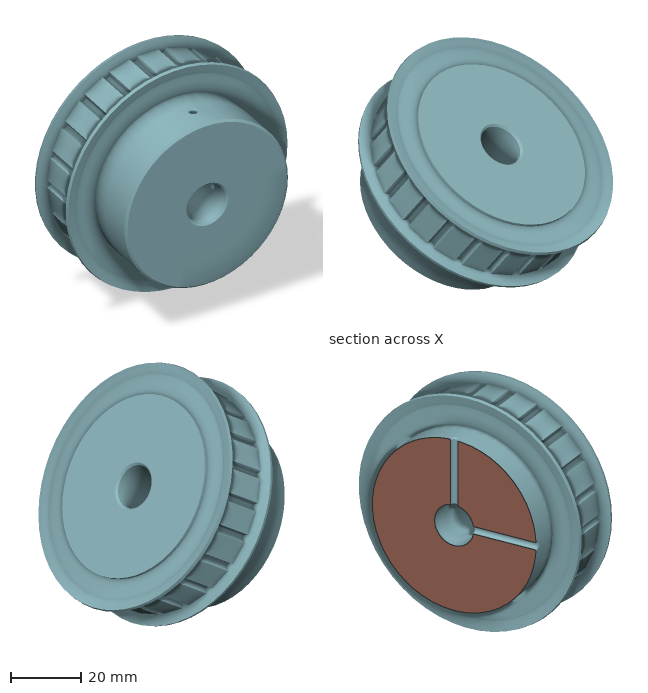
import cadquery as cq
import math

total_length = 34.9
hub_radius = 27.0
hub_edge_chamfer = 0.65

tooth_count = 22
tooth_corner_radius = 33.3
rim_start = 2.0
rim_end = 16.9

groove_top_width = 2.5
groove_depth = 1.45
groove_wall_angle = 20.0
groove_root_fillet = 0.45

flange_radius = 36.5
flange_thickness = 1.0
flange_flare = 0.7

bore_radius = 6.35
bore_chamfer = 0.6
screw_position = 27.0
screw_radius = 1.1
screw_chamfer = 0.45

tooth_pitch_angle = 360 / tooth_count
groove_half_angle = math.degrees(math.asin(groove_top_width / 2 / tooth_corner_radius))
tooth_half_angle = tooth_pitch_angle / 2 - groove_half_angle
tooth_flat_distance = tooth_corner_radius * math.cos(math.radians(tooth_half_angle))
groove_mouth_distance = tooth_corner_radius * math.cos(math.radians(groove_half_angle))


def revolve_about_x(points):
    """Solid of revolution from (x, radius) points."""
    return cq.Workplane("XY").polyline(points).close().revolve(360, (0, 0, 0), (1, 0, 0))


def make_hub():
    """Plain cylinder along X, chamfered at its far edge."""
    hub = cq.Workplane("YZ").circle(hub_radius).extrude(total_length)
    return hub.faces(">X").edges().chamfer(hub_edge_chamfer)


def make_groove():
    """Cutter for one groove, opening toward +Y."""
    narrowing_per_depth = math.tan(math.radians(groove_wall_angle))
    overshoot = 0.7
    root = groove_mouth_distance - groove_depth
    mouth = groove_mouth_distance + overshoot
    half_root = groove_top_width / 2 - groove_depth * narrowing_per_depth
    half_mouth = groove_top_width / 2 + overshoot * narrowing_per_depth
    outline = [(root, -half_root), (mouth, -half_mouth), (mouth, half_mouth), (root, half_root)]
    cutter = (
        cq.Workplane("YZ", origin=(rim_start, 0, 0))
        .polyline(outline)
        .close()
        .extrude(rim_end - rim_start)
    )
    return cutter.edges("|X").edges("<Y").fillet(groove_root_fillet)


def make_toothed_rim():
    """Flat-topped polygon, one side per tooth, with a groove cut at every corner."""
    circumradius = tooth_flat_distance / math.cos(math.pi / tooth_count)
    rim = (
        cq.Workplane("YZ", origin=(rim_start, 0, 0))
        .polygon(tooth_count, 2 * circumradius)
        .extrude(rim_end - rim_start)
    )
    groove = make_groove()
    for index in range(tooth_count):
        rim = rim.cut(groove.rotate((0, 0, 0), (1, 0, 0), index * tooth_pitch_angle))
    return rim


def make_flange(tooth_side, outward):
    """Disc starting at x = tooth_side; outward is +1 or -1 along X."""
    flare_angle = math.atan2(flange_flare, flange_radius - tooth_corner_radius)
    rim_drop = flange_thickness * math.sin(flare_angle)
    rim_width = flange_thickness * math.cos(flare_angle)
    bend_shift = flange_thickness * math.tan(flare_angle / 2)
    profile = [
        (0, 0),
        (0, tooth_corner_radius),
        (flange_flare, flange_radius),
        (flange_flare + rim_width, flange_radius - rim_drop),
        (flange_thickness, tooth_corner_radius - bend_shift),
        (flange_thickness, 0),
    ]
    return revolve_about_x([(tooth_side + outward * x, radius) for x, radius in profile])


def make_bore():
    """Through bore with a chamfer at each end."""
    mouth_radius = bore_radius + bore_chamfer
    return revolve_about_x([
        (0, 0),
        (0, mouth_radius),
        (bore_chamfer, bore_radius),
        (total_length - bore_chamfer, bore_radius),
        (total_length, mouth_radius),
        (total_length, 0),
    ])


def make_screw_hole():
    """Radial hole from the hub surface at +Z into the bore, chamfered at the mouth."""
    hole = (
        cq.Workplane("XY", origin=(screw_position, 0, 0))
        .circle(screw_radius)
        .extrude(hub_radius)
    )
    mouth = cq.Solid.makeCone(
        screw_radius,
        screw_radius + screw_chamfer,
        screw_chamfer,
        pnt=cq.Vector(screw_position, 0, hub_radius - screw_chamfer),
        dir=cq.Vector(0, 0, 1),
    )
    return hole.union(cq.Workplane(mouth))


screw_hole = make_screw_hole()
pulley = make_hub().union(make_toothed_rim())
pulley = pulley.union(make_flange(rim_start, -1)).union(make_flange(rim_end, 1))
pulley = pulley.cut(make_bore())
pulley = pulley.cut(screw_hole)
result = pulley.cut(screw_hole.rotate((0, 0, 0), (1, 0, 0), -90))